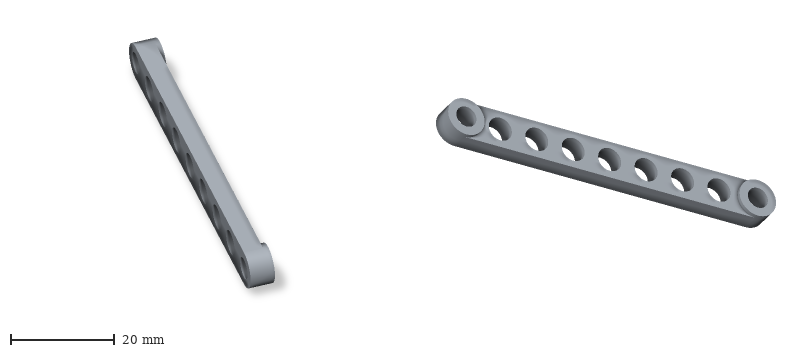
import cadquery as cq

length = 72.0
hole_count = 9
pitch = length / hole_count
width = pitch
overall_depth = 5.0
bar_depth = 3.95
hole_diameter = 5.05
end_hole_diameter = 4.4

end_x = (length - width) / 2
front_y = -overall_depth / 2


def cylinder_along_y(x, diameter):
    """Full-depth cylinder running from the front face toward +Y."""
    return (
        cq.Workplane("XZ", origin=(x, front_y, 0))
        .circle(diameter / 2)
        .extrude(-overall_depth)
    )


result = cq.Workplane("XY").box(2 * end_x, bar_depth, width).translate((0, front_y + bar_depth / 2, 0))

for x in (-end_x, end_x):
    result = result.union(cylinder_along_y(x, width))

for index in range(hole_count):
    is_end = index in (0, hole_count - 1)
    diameter = end_hole_diameter if is_end else hole_diameter
    result = result.cut(cylinder_along_y(-end_x + index * pitch, diameter))